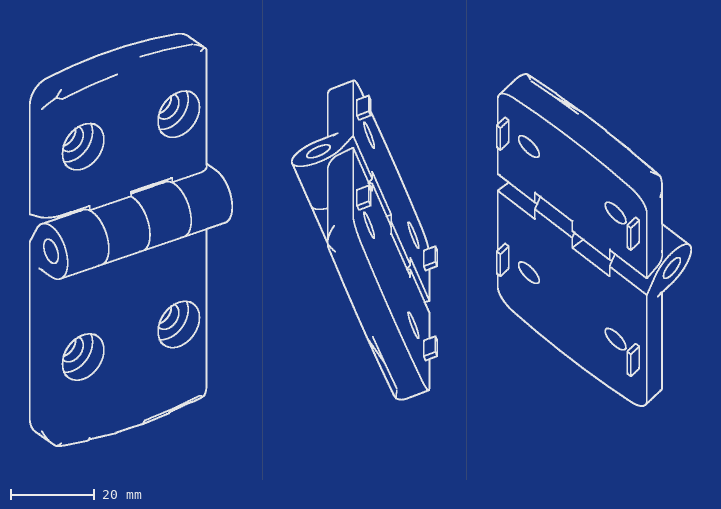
import cadquery as cq
import math


width = 48.0
thickness = 7.9
upper_reach = 43.3
lower_reach = 57.3
end_radius = 118.7
corner_radius = 6.0
side_fillet = 4.0
end_fillet = 1.6

knuckle_count = 4
knuckle_width = width / knuckle_count
knuckle_radius = 6.9
pin_radius = 3.0
axis_x = 9.0
knuckle_root = 1.5

gap_back = 6.0
gap_front = 8.1

hole_diameter = 6.6
bore_diameter = 12.1
bore_depth = 4.7
hole_spacing = 27.9
upper_hole_height = 24.9
lower_hole_height = 32.6
tab_spacing = 41.9
tab_depth = 3.0
tab_width = 1.2
tab_length = 10.1


def knuckle_center(index):
    """Y centre of a knuckle, counted from the -Y end."""
    return (index + 0.5) * knuckle_width - width / 2


def prism_along_y(profile, index):
    """Extrude a closed XZ profile over the width of one knuckle."""
    return profile.extrude(knuckle_width / 2, both=True).translate((0, knuckle_center(index), 0))


def plate(reach):
    """Plate with a curved outer end, round corners and rounded front edges."""
    height = reach - gap_back
    middle = gap_back + height / 2
    body = cq.Workplane("XY").box(thickness, width, height).translate((thickness / 2, 0, middle))
    body = body.edges("|Z and >X").fillet(side_fillet)

    disc = cq.Workplane("YZ", origin=(0, 0, reach - end_radius)).circle(end_radius).extrude(thickness)
    body = body.intersect(disc.faces(">X").edges().fillet(end_fillet))

    corner_y = width / 2 - corner_radius
    end_z = reach - end_radius
    corner_z = end_z + math.sqrt((end_radius - corner_radius) ** 2 - corner_y ** 2)
    tangent_scale = end_radius / (end_radius - corner_radius)
    tangent_y = corner_y * tangent_scale
    tangent_z = end_z + (corner_z - end_z) * tangent_scale
    half_angle = math.atan2(tangent_z - corner_z, tangent_y - corner_y) / 2
    mid_y = corner_y + corner_radius * math.cos(half_angle)
    mid_z = corner_z + corner_radius * math.sin(half_angle)
    outline = (
        cq.Workplane("YZ")
        .moveTo(-width / 2, gap_back)
        .lineTo(width / 2, gap_back)
        .lineTo(width / 2, corner_z)
        .threePointArc((mid_y, mid_z), (tangent_y, tangent_z))
        .threePointArc((0, reach), (-tangent_y, tangent_z))
        .threePointArc((-mid_y, mid_z), (-width / 2, corner_z))
        .close()
        .extrude(thickness)
    )
    return body.intersect(outline)


def gap_wedge(index):
    """Material removed above the other leaf's knuckle."""
    profile = (
        cq.Workplane("XZ")
        .moveTo(0, gap_back)
        .lineTo(thickness, gap_front)
        .lineTo(thickness, gap_back)
        .close()
    )
    return prism_along_y(profile, index)


def knuckle(index):
    """Barrel with a flank tangent to it, blended into the plate."""
    distance = math.hypot(axis_x, knuckle_root)
    tangent_length = math.sqrt(distance ** 2 - knuckle_radius ** 2)
    slope = math.atan2(knuckle_root, axis_x) + math.asin(knuckle_radius / distance)
    tangent_point = (tangent_length * math.cos(slope), knuckle_root - tangent_length * math.sin(slope))
    profile = (
        cq.Workplane("XZ")
        .moveTo(0, knuckle_radius)
        .lineTo(0, knuckle_root)
        .lineTo(*tangent_point)
        .threePointArc((axis_x + knuckle_radius, 0), (axis_x, knuckle_radius))
        .close()
    )
    return prism_along_y(profile, index)


def tabs(hole_height):
    """Pair of locating tabs on the back face, level with the screw holes."""
    return (
        cq.Workplane("YZ", origin=(0, 0, hole_height))
        .pushPoints([(-tab_spacing / 2, 0), (tab_spacing / 2, 0)])
        .rect(tab_width, tab_length)
        .extrude(-tab_depth)
    )


def leaf(reach, hole_height, own_knuckles):
    """One leaf, standing upward from the pin axis."""
    body = plate(reach)
    for index in range(knuckle_count):
        if index not in own_knuckles:
            body = body.cut(gap_wedge(index))
    for index in own_knuckles:
        body = body.union(knuckle(index))
    body = body.union(tabs(hole_height))

    body = (
        body.copyWorkplane(cq.Workplane("YZ", origin=(thickness, 0, hole_height)))
        .pushPoints([(-hole_spacing / 2, 0), (hole_spacing / 2, 0)])
        .cboreHole(hole_diameter, bore_diameter, bore_depth)
    )
    return body.cut(pin())


def pin():
    """Hinge pin, flush with the outer knuckles."""
    return cq.Workplane("XZ").center(axis_x, 0).circle(pin_radius).extrude(width / 2, both=True)


upper_leaf = leaf(upper_reach, upper_hole_height, (1, 3))
lower_leaf = leaf(lower_reach, lower_hole_height, (0, 2)).mirror("XY")
hinge_pin = pin()

result = cq.Compound.makeCompound([upper_leaf.val(), lower_leaf.val(), hinge_pin.val()])